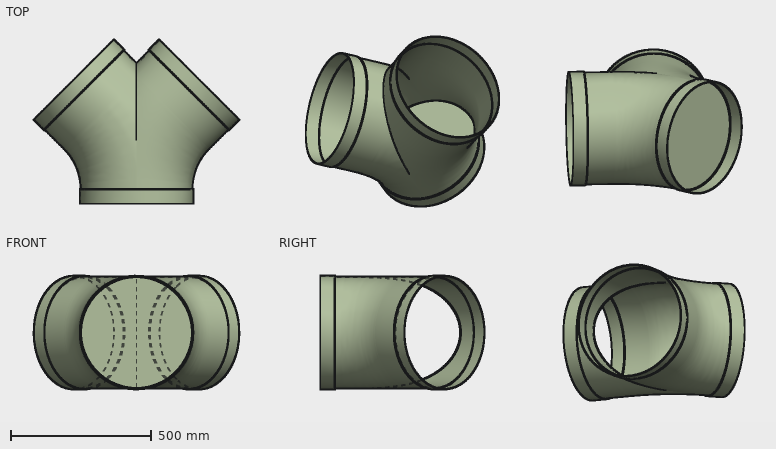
import cadquery as cq
import math

wall = 3.2
pipe_diameter = 400.0
socket_depth = 50.0
bend_radius = 400.0
bend_angle = 45.0
branch_straight = 150.0

pipe_radius = pipe_diameter / 2
bore_radius = pipe_radius - wall
collar_radius = pipe_radius + wall
collar_length = socket_depth + wall
socket_start = branch_straight - socket_depth
collar_start = branch_straight - collar_length

turn = math.radians(bend_angle)
bend_end_x = bend_radius * (1 - math.cos(turn))
bend_end_y = bend_radius * math.sin(turn)


def branch_rod(side, radius, start, end):
    """Round bar along a branch axis, with start and end measured from the end of the bend."""
    direction = cq.Vector(side * math.sin(turn), math.cos(turn), 0)
    origin = cq.Vector(side * bend_end_x, bend_end_y, 0) + direction * start
    return cq.Workplane(cq.Plane(origin, xDir=(0, 0, 1), normal=direction)).circle(radius).extrude(end - start)


def branch_duct(side, radius):
    """Solid bend followed by its straight run; side is +1 for +X and -1 for -X."""
    bend = (
        cq.Workplane("XZ")
        .circle(radius)
        .revolve(bend_angle, (side * bend_radius, 0, 0), (side * bend_radius, -side, 0))
    )
    return bend.union(branch_rod(side, radius, 0, branch_straight))


def both_ducts(radius):
    """Two mirrored ducts, meeting in a mitre on the YZ plane."""
    return branch_duct(-1, radius).union(branch_duct(1, radius))


def inlet_collar():
    """Socket at the -Y end, closed by a plate one wall thick."""
    collar = cq.Workplane("XZ").circle(collar_radius).extrude(collar_length)
    socket = cq.Workplane("XZ", origin=(0, -wall, 0)).circle(pipe_radius).extrude(socket_depth)
    return collar.cut(socket)


body = both_ducts(pipe_radius)
for side in (-1, 1):
    body = body.union(branch_rod(side, collar_radius, collar_start, branch_straight))

body = body.cut(both_ducts(bore_radius))
for side in (-1, 1):
    body = body.cut(branch_rod(side, pipe_radius, socket_start, branch_straight))

result = body.union(inlet_collar())